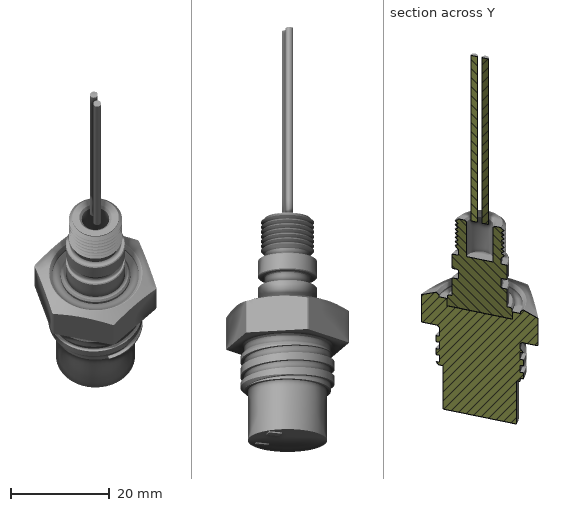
import cadquery as cq
import math

total_length = 87.1
wire_length = 40.05
stem_top = total_length - wire_length

mark_height = 0.3
mark_depth = 2.7
wide_mark_width = 1.8
wide_mark_x = -4.1
narrow_mark_width = 0.8
narrow_mark_x = 3.6
mark_y = 4.3
barrel_diameter = 16.0

sleeve_bottom = 10.7
sleeve_diameter = 17.6
thread_diameter = 19.1
thread_pitch = 3.1
thread_turns = 2.75
thread_root_bite = 0.3
thread_top = 17.6
thread_run_out = 1.1
thread_lead_in = 0.9
thread_clearance = 0.35
flare_size = 0.35

hex_bottom = 20.2
hex_top = 28.2
hex_across_flats = 22.0
hex_corner_diameter = 25.25
hex_rim_diameter = 19.0
hex_bevel_drop = 1.3
recess_bevel = 0.6
recess_diameter = 17.5
recess_depth = 1.0
socket_depth = 1.7

stem_diameter = 12.0
collar_diameter = 14.1
collar_bevel = 0.35
neck_diameter = 9.3
groove_bottom = 32.5
band_bottom = 34.65
band_top = 38.2
band_bevel = 0.2
ridge_diameter = 10.8
ridge_root_diameter = 9.4
ridge_pitch = 1.0
ridge_count = 7
ridge_first_crest = 40.3
bore_diameter = 5.6
bore_bevel = 0.48
bore_depth = 8.7

wire_diameter = 1.6
wire_spacing = 2.35


def cylinder(diameter, bottom, top):
    return cq.Workplane("XY").workplane(offset=bottom).circle(diameter / 2).extrude(top - bottom)


def cone(bottom_diameter, top_diameter, bottom, top):
    return (
        cq.Workplane("XY")
        .workplane(offset=bottom)
        .circle(bottom_diameter / 2)
        .workplane(offset=top - bottom)
        .circle(top_diameter / 2)
        .loft()
    )


def make_hexagon():
    hexagon = (
        cq.Workplane("XY")
        .workplane(offset=hex_bottom)
        .polygon(6, hex_across_flats / math.cos(math.pi / 6))
        .extrude(hex_top - hex_bottom)
    )
    bevel_bottom = hex_top - hex_bevel_drop
    envelope = cylinder(hex_corner_diameter, hex_bottom, bevel_bottom).union(
        cone(hex_corner_diameter, hex_rim_diameter, bevel_bottom, hex_top)
    )
    recess = cylinder(recess_diameter, hex_top - recess_depth, hex_top)
    rim_bevel = cone(recess_diameter, recess_diameter + 2 * recess_bevel, hex_top - recess_bevel, hex_top)
    return hexagon.intersect(envelope).cut(recess).cut(rim_bevel)


def make_thread():
    tooth_width = thread_pitch / 2
    root_radius = sleeve_diameter / 2 - thread_root_bite
    tip_radius = thread_diameter / 2
    path = cq.Wire.makeHelix(thread_pitch, thread_pitch * thread_turns, root_radius)
    tooth = (
        cq.Workplane("XZ")
        .moveTo(root_radius, -tooth_width / 2)
        .lineTo(tip_radius, -tooth_width / 2)
        .lineTo(tip_radius, tooth_width / 2)
        .lineTo(root_radius, tooth_width / 2)
        .close()
        .sweep(cq.Workplane(path), isFrenet=True)
        .translate((0, 0, sleeve_bottom))
    )
    lead_in_top = sleeve_bottom + thread_lead_in
    envelope_diameter = thread_diameter + thread_clearance
    run_out_top = thread_top + thread_run_out
    envelope = (
        cone(sleeve_diameter, envelope_diameter, sleeve_bottom, lead_in_top)
        .union(cylinder(envelope_diameter, lead_in_top, thread_top))
        .union(cone(envelope_diameter, sleeve_diameter, thread_top, run_out_top))
    )
    return tooth.intersect(envelope)


def make_marks():
    marks = cq.Workplane("XY")
    for x, width in ((wide_mark_x, wide_mark_width), (narrow_mark_x, narrow_mark_width)):
        mark = cq.Workplane("XY").center(x, mark_y).rect(width, mark_depth).extrude(mark_height)
        marks = marks.add(mark)
    return marks


def make_housing():
    sleeve = cylinder(sleeve_diameter, sleeve_bottom, hex_bottom)
    flare = cone(sleeve_diameter, sleeve_diameter + 2 * flare_size, hex_bottom - flare_size, hex_bottom)
    housing = cylinder(barrel_diameter, mark_height, sleeve_bottom).union(sleeve).union(flare)
    housing = housing.union(make_hexagon()).union(make_thread())
    for mark in make_marks().vals():
        housing = housing.union(cq.Workplane(mark))
    socket_floor = hex_top - recess_depth - socket_depth
    return housing.cut(cylinder(collar_diameter, socket_floor, hex_top))


def make_stem():
    root = ridge_root_diameter / 2
    crest = ridge_diameter / 2
    ridge_rise = ridge_pitch / 2
    band = stem_diameter / 2
    neck = neck_diameter / 2
    collar = collar_diameter / 2
    ridge_points = []
    for index in range(ridge_count):
        crest_z = ridge_first_crest + index * ridge_pitch
        ridge_points.append((crest, crest_z))
        ridge_points.append((root, crest_z + ridge_rise))
    outline = [
        (0, hex_top - recess_depth - socket_depth),
        (collar, hex_top - recess_depth - socket_depth),
        (collar, hex_top - collar_bevel),
        (collar - collar_bevel, hex_top),
        (band, hex_top),
        (band, groove_bottom - band_bevel),
        (band - band_bevel, groove_bottom),
        (neck + band_bevel, groove_bottom),
        (neck, groove_bottom + band_bevel),
        (neck, band_bottom - band_bevel),
        (neck + band_bevel, band_bottom),
        (band - band_bevel, band_bottom),
        (band, band_bottom + band_bevel),
        (band, band_top - band_bevel),
        (band - band_bevel, band_top),
        (neck, band_top),
        (neck, ridge_first_crest - (crest - neck)),
        *ridge_points,
        (root, stem_top),
        (bore_diameter / 2 + bore_bevel, stem_top),
        (bore_diameter / 2, stem_top - bore_bevel),
        (bore_diameter / 2, stem_top - bore_depth),
        (0, stem_top - bore_depth),
    ]
    return cq.Workplane("XZ").polyline(outline).close().revolve(360, (0, 0, 0), (0, 1, 0))


def make_wire(x):
    return cylinder(wire_diameter, stem_top, total_length).translate((x, 0, 0))


housing = make_housing()
stem = make_stem()
wires = [make_wire(side * wire_spacing / 2) for side in (-1, 1)]

result = cq.Compound.makeCompound([housing.val(), stem.val(), *[wire.val() for wire in wires]])